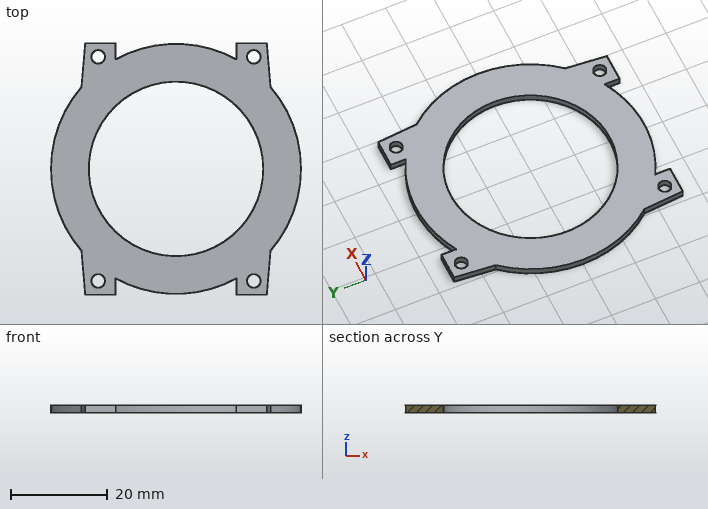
import cadquery as cq
import math

thickness = 1.6
ring_diameter = 51.75
bore_diameter = 36.0

overall_length = 52.05
tab_inner_x = 12.5
tab_tip_x = 18.8
tab_root_x = 19.55

hole_diameter = 2.75
hole_spacing_x = 32.15
hole_spacing_y = 46.3

ring_radius = ring_diameter / 2
tab_tip_y = overall_length / 2


def ring_height(x):
    """Y of the ring's outer edge at the given X."""
    return math.sqrt(ring_radius**2 - x**2)


def tab(side_x, side_y):
    """Tab in one quadrant, with its base buried in the ring."""
    buried_y = ring_height(tab_root_x)
    outline = [
        (tab_inner_x, buried_y),
        (tab_inner_x, tab_tip_y),
        (tab_tip_x, tab_tip_y),
        (tab_root_x, buried_y),
    ]
    points = [(side_x * x, side_y * y) for x, y in outline]
    return cq.Workplane("XY").polyline(points).close().extrude(thickness)


body = cq.Workplane("XY").circle(ring_radius).extrude(thickness)
for side_x in (-1, 1):
    for side_y in (-1, 1):
        body = body.union(tab(side_x, side_y))

bore = cq.Workplane("XY").circle(bore_diameter / 2).extrude(thickness)
tab_holes = (
    cq.Workplane("XY")
    .rect(hole_spacing_x, hole_spacing_y, forConstruction=True)
    .vertices()
    .circle(hole_diameter / 2)
    .extrude(thickness)
)

result = body.cut(bore).cut(tab_holes)